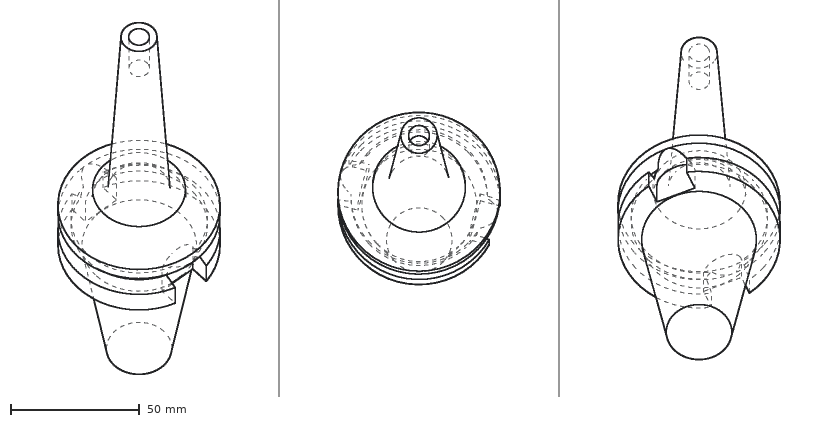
import cadquery as cq
import math

total_height = 200.5
gauge_height = 65.3
flange_bottom = gauge_height + 1.0
flange_top = gauge_height + 27.0
collar_top = 102.2

gauge_radius = 22.2
shank_taper = 7 / 24
shank_end_radius = gauge_radius - gauge_height * shank_taper / 2

flange_radius = 31.5
groove_radius = 26.5
groove_side_angle = 30.0
lower_rim_height = 10.0
upper_rim_height = 5.8
groove_side_height = (flange_radius - groove_radius) * math.tan(math.radians(groove_side_angle))
groove_bottom = flange_bottom + lower_rim_height
groove_top = flange_top - upper_rim_height

collar_radius = 18.0
collar_fillet = 5.0
nose_base_radius = 12.0
nose_fillet = 1.0
nose_tip_radius = 7.0
bore_diameter = 8.0
bore_depth = 20.0

slot_width = 16.0
slot_floor_distance = 22.5


def concave_arc(outline, radius, center_r, center_z):
    """Continue an outline with the quarter arc that blends a horizontal face into a wall above."""
    offset = radius * math.sin(math.radians(45))
    return outline.threePointArc(
        (center_r - offset, center_z - offset),
        (center_r - radius, center_z),
    )


def turned_body():
    outline = (
        cq.Workplane("XZ")
        .lineTo(shank_end_radius, 0)
        .lineTo(gauge_radius, gauge_height)
        .lineTo(gauge_radius, flange_bottom)
        .lineTo(flange_radius, flange_bottom)
        .lineTo(flange_radius, groove_bottom)
        .lineTo(groove_radius, groove_bottom + groove_side_height)
        .lineTo(groove_radius, groove_top - groove_side_height)
        .lineTo(flange_radius, groove_top)
        .lineTo(flange_radius, flange_top)
        .lineTo(collar_radius + collar_fillet, flange_top)
    )
    outline = concave_arc(
        outline, collar_fillet, collar_radius + collar_fillet, flange_top + collar_fillet
    )
    outline = outline.lineTo(collar_radius, collar_top).lineTo(nose_base_radius + nose_fillet, collar_top)
    outline = concave_arc(
        outline, nose_fillet, nose_base_radius + nose_fillet, collar_top + nose_fillet
    )
    outline = outline.lineTo(nose_tip_radius, total_height).lineTo(0, total_height).close()
    return outline.revolve(360, (0, 0), (0, 1))


def drive_slot(side):
    """Round-topped slot, open at the flange underside; side is -1 or +1 along X."""
    half_width = slot_width / 2
    arc_height = groove_top - half_width
    return (
        cq.Workplane("YZ", origin=(side * slot_floor_distance, 0, 0))
        .moveTo(-half_width, flange_bottom)
        .lineTo(half_width, flange_bottom)
        .lineTo(half_width, arc_height)
        .threePointArc((0, groove_top), (-half_width, arc_height))
        .close()
        .extrude(side * flange_radius)
    )


def nose_bore():
    return (
        cq.Workplane("XY", origin=(0, 0, total_height - bore_depth))
        .circle(bore_diameter / 2)
        .extrude(bore_depth)
    )


result = turned_body().cut(nose_bore())
for side in (-1, 1):
    result = result.cut(drive_slot(side))